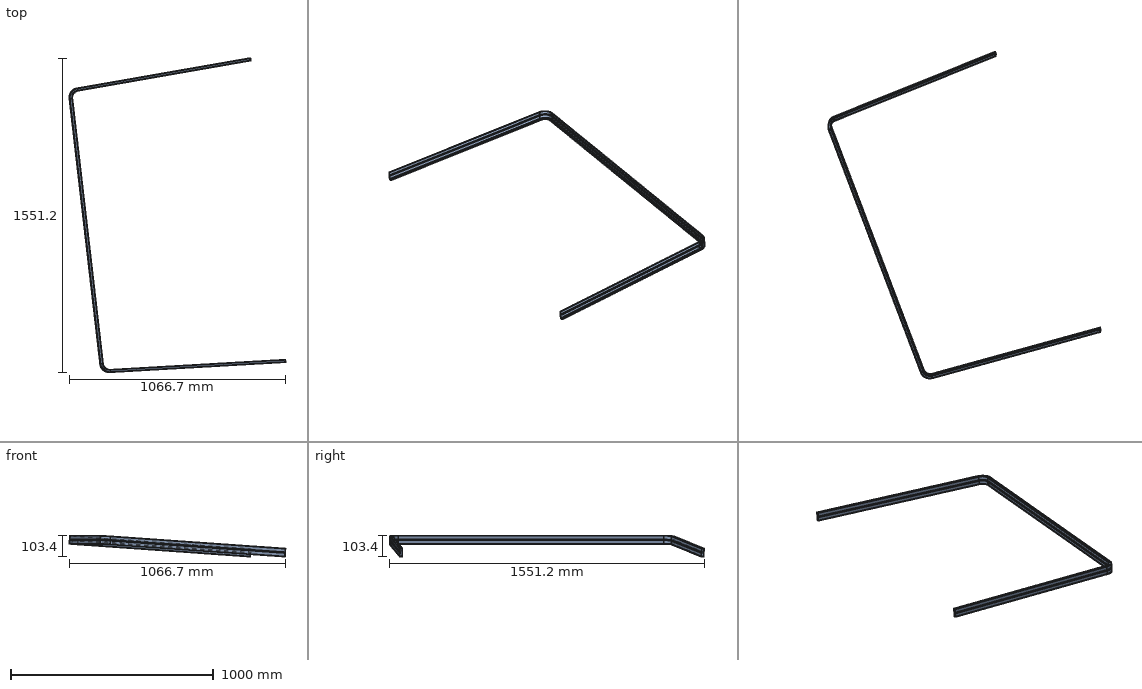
import cadquery as cq
import math

corner_spacing = 1395.0
arm_length = 905.0
bend_radius = 40.0
splay_angle = 3.3
tilt_angle = 4.0
heading_angle = 6.6

rail_height = 40.0
rail_width = 12.0
groove_height = 5.0
groove_depth = 0.8

bend_angle = 90 - splay_angle
setback = bend_radius * math.tan(math.radians(bend_angle / 2))
back_length = corner_spacing - 2 * setback
straight_arm_length = arm_length - setback
joint_y = back_length / 2


def rail_section():
    """Rail section centred on the XZ plane origin, with a groove along both sides."""
    groove_spacing = rail_width - groove_depth
    bar = cq.Sketch().rect(rail_width, rail_height)
    grooves = [(-groove_spacing / 2, 0), (groove_spacing / 2, 0)]
    return bar.push(grooves).rect(groove_depth, groove_height, mode="s")


def straight_rail(length):
    """Straight rail running from the origin towards +Y."""
    return cq.Workplane("XZ").placeSketch(rail_section()).extrude(-length)


def corner_bend():
    """Bend starting at the origin towards +Y and turning towards +X."""
    axis_start = (bend_radius, 0)
    axis_end = (bend_radius, -1)
    return cq.Workplane("XZ").placeSketch(rail_section()).revolve(bend_angle, axis_start, axis_end)


def arm():
    """Arm placed where a bend starting at the origin ends."""
    turn = math.radians(bend_angle)
    end_x = bend_radius * (1 - math.cos(turn))
    end_y = bend_radius * math.sin(turn)
    rail = straight_rail(straight_arm_length).rotate((0, 0, 0), (0, 0, 1), -bend_angle)
    return rail.translate((end_x, end_y, 0))


def place_in_frame(body):
    """Tilt and turn a body from the flat layout into its final position."""
    tilted = body.rotate((0, 0, 0), (0, 1, 0), tilt_angle)
    return tilted.rotate((0, 0, 0), (0, 0, 1), heading_angle)


back_rail = place_in_frame(straight_rail(back_length).translate((0, -joint_y, 0)))

bends = []
arms = []
for mirrored in (False, True):
    for part, group in ((corner_bend(), bends), (arm(), arms)):
        moved = part.translate((0, joint_y, 0))
        if mirrored:
            moved = moved.mirror("XZ")
        group.append(place_in_frame(moved))

bodies = [back_rail, *bends, *arms]
result = cq.Compound.makeCompound([body.val() for body in bodies])